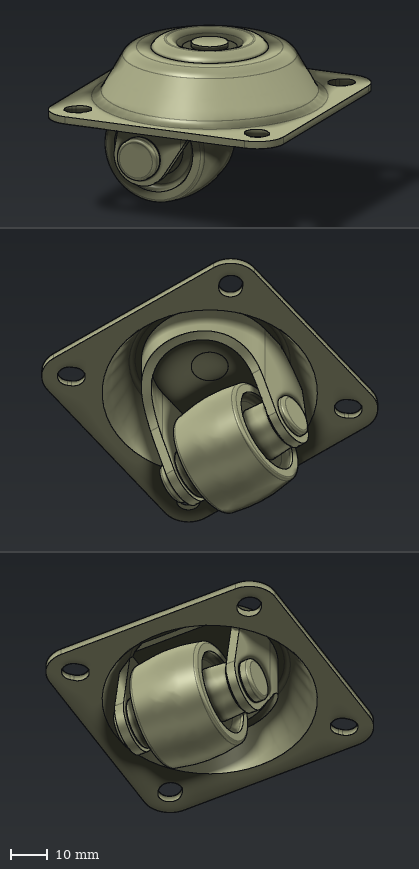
import cadquery as cq
import math

plate_side = 70.0
plate_corner = 8.0
wall = 2.1
slot_width = 6.45
slot_length = 7.55
slot_offset = 26.95

dome_base_radius = 32.2
cone_low_radius = 29.6
cone_low_z = 3.7
cone_high_radius = 23.8
cone_high_z = 14.0
shoulder_radius = 19.95
shoulder_z = 16.0
boss_radius = 16.0
rim_outer_radius = 12.4
rim_inner_radius = 11.9
rim_z = 18.3
dish_mid_radius = 9.1
dish_mid_z = 17.2
dish_floor_radius = 7.5
dish_floor_z = 16.2
roof_z = shoulder_z - wall
roof_fillet = 1.9

wheel_x = -12.0
wheel_z = -12.0
wheel_radius = 16.0
wheel_half_width = 10.5
tread_edge_radius = 15.0
tread_half_width = 9.6
face_radius = 14.15
tread_corner_radius = 0.9
recess_radius = 11.8
recess_fillet = 1.6
recess_depth = 2.5
hub_root_radius = 7.7
hub_end_radius = 7.2
hub_half_length = 15.6
hub_chamfer = 0.3

axle_radius = 4.2
head_radius = 5.95
head_fillet = 1.0
plain_head_length = 1.8
collar_length = 0.35
collar_radius = 5.9
collared_head_length = 3.15

fork_radius = 18.6
fork_wall = 2.7
fork_inner_radius = fork_radius - fork_wall
fork_eye_radius = 8.05
front_edge_tilt = 10.2
rear_edge_slope = 57.0
rear_edge_length = 13.3
rear_sweep_radius = 21.0
swivel_clearance = 1.4

kingpin_radius = 5.05
kingpin_top_z = 17.5
kingpin_bottom_z = roof_z - fork_wall


def revolve_about_z(profile):
    """Revolve a closed (radius, height) profile about the Z axis."""
    return profile.close().revolve(360, (0, 0, 0), (0, 1, 0))


def revolve_about_axle(profile):
    """Revolve a closed (Y, radius) profile about the axle line."""
    turned = profile.close().revolve(360, (0, 0, 0), (1, 0, 0))
    return turned.translate((wheel_x, 0, wheel_z))


def axle_plane():
    """Sketch plane with Y as its first direction and X as its second."""
    return cq.Workplane(cq.Plane((0, 0, 0), xDir=(0, 1, 0), normal=(0, 0, -1)))


def cavity_radius(z):
    """Radius of the dome's inner cone at height z, one wall thickness inside the outer cone."""
    cone_run = (cone_low_radius - cone_high_radius) / (cone_high_z - cone_low_z)
    inset = wall * math.hypot(1, cone_run)
    return cone_low_radius + (cone_low_z - z) * cone_run - inset


def dish_arc_middle():
    """Middle of the dish rounding, which leaves the rim horizontally."""
    run = rim_inner_radius - dish_mid_radius
    drop = rim_z - dish_mid_z
    radius = (run**2 + drop**2) / (2 * drop)
    half_turn = math.atan2(drop, run)
    return (
        rim_inner_radius - radius * math.sin(half_turn),
        rim_z - radius * (1 - math.cos(half_turn)),
    )


def make_housing():
    plate = cq.Workplane("XY").rect(plate_side, plate_side).extrude(wall)
    plate = plate.edges("|Z").fillet(plate_corner)

    for angle in (45, 135, 225, 315):
        slot = cq.Workplane("XY").center(slot_offset * math.sqrt(2), 0)
        slot = slot.slot2D(slot_length, slot_width).extrude(wall)
        plate = plate.cut(slot.rotate((0, 0, 0), (0, 0, 1), angle))

    dome = revolve_about_z(
        cq.Workplane("XZ")
        .moveTo(0, 0)
        .lineTo(0, dish_floor_z)
        .lineTo(dish_floor_radius, dish_floor_z)
        .lineTo(dish_mid_radius, dish_mid_z)
        .threePointArc(dish_arc_middle(), (rim_inner_radius, rim_z))
        .lineTo(rim_outer_radius, rim_z)
        .tangentArcPoint((boss_radius, shoulder_z), relative=False)
        .lineTo(shoulder_radius, shoulder_z)
        .tangentArcPoint((cone_high_radius, cone_high_z), relative=False)
        .lineTo(cone_low_radius, cone_low_z)
        .tangentArcPoint((dome_base_radius, wall), relative=False)
        .lineTo(dome_base_radius, 0)
    )

    cavity = revolve_about_z(
        cq.Workplane("XZ")
        .moveTo(0, 0)
        .lineTo(cavity_radius(0), 0)
        .lineTo(cavity_radius(roof_z), roof_z)
        .lineTo(0, roof_z)
    )
    cavity = cavity.faces(">Z").edges().fillet(roof_fillet)

    pin_hole = cq.Workplane("XY").circle(kingpin_radius).extrude(rim_z)
    return plate.union(dome).cut(cavity).cut(pin_hole)


def make_fork():
    height = plate_side

    def u_plan(radius):
        """Half disc on the +X side with straight sides running toward -X."""
        disc = cq.Workplane("XY").circle(radius).extrude(height)
        straight = cq.Workplane("XY").box(
            height, 2 * radius, height, centered=(False, True, False)
        )
        return disc.union(straight.translate((-height, 0, 0)))

    outside = u_plan(fork_radius).translate((0, 0, roof_z - height))
    inside = u_plan(fork_inner_radius).translate((0, 0, kingpin_bottom_z - height))

    tilt = math.radians(front_edge_tilt)
    slope = math.radians(rear_edge_slope)
    front_tangent = (
        wheel_x - fork_eye_radius * math.cos(tilt),
        wheel_z + fork_eye_radius * math.sin(tilt),
    )
    front_top_x = front_tangent[0] + (roof_z - front_tangent[1]) * math.tan(tilt)
    rear_tangent = (
        wheel_x + fork_eye_radius * math.sin(slope),
        wheel_z - fork_eye_radius * math.cos(slope),
    )
    sweep_start = (
        rear_tangent[0] + rear_edge_length * math.cos(slope),
        rear_tangent[1] + rear_edge_length * math.sin(slope),
    )
    sweep_end = (
        sweep_start[0] + rear_sweep_radius * math.sin(slope),
        sweep_start[1] + rear_sweep_radius * (1 - math.cos(slope)),
    )
    side_outline = (
        cq.Workplane("XZ")
        .moveTo(front_top_x, roof_z)
        .lineTo(*front_tangent)
        .tangentArcPoint(rear_tangent, relative=False)
        .lineTo(*sweep_start)
        .tangentArcPoint(sweep_end, relative=False)
        .lineTo(sweep_end[0], roof_z)
        .close()
        .extrude(fork_radius, both=True)
    )

    axle_hole = (
        cq.Workplane("XZ")
        .center(wheel_x, wheel_z)
        .circle(axle_radius)
        .extrude(fork_radius, both=True)
    )
    pin_hole = cq.Workplane("XY").circle(kingpin_radius).extrude(roof_z)

    envelope_bottom = wheel_z - fork_eye_radius
    swivel_envelope = revolve_about_z(
        cq.Workplane("XZ")
        .moveTo(0, envelope_bottom)
        .lineTo(cavity_radius(envelope_bottom) - swivel_clearance, envelope_bottom)
        .lineTo(cavity_radius(roof_z) - swivel_clearance, roof_z)
        .lineTo(0, roof_z)
    )

    fork_body = outside.cut(inside).intersect(side_outline).intersect(swivel_envelope)
    return fork_body.cut(axle_hole).cut(pin_hole)


def make_wheel():
    recess_y = wheel_half_width - recess_depth
    recess_wall_y = recess_y + recess_fillet
    recess_floor_radius = recess_radius - recess_fillet
    hub_chamfer_y = hub_half_length - hub_chamfer
    return revolve_about_axle(
        axle_plane()
        .moveTo(-hub_half_length, axle_radius)
        .lineTo(-hub_half_length, hub_end_radius - hub_chamfer)
        .lineTo(-hub_chamfer_y, hub_end_radius)
        .lineTo(-recess_y, hub_root_radius)
        .lineTo(-recess_y, recess_floor_radius)
        .radiusArc((-recess_wall_y, recess_radius), -recess_fillet)
        .lineTo(-wheel_half_width, recess_radius)
        .lineTo(-wheel_half_width, face_radius)
        .radiusArc((-tread_half_width, tread_edge_radius), tread_corner_radius)
        .threePointArc((0, wheel_radius), (tread_half_width, tread_edge_radius))
        .radiusArc((wheel_half_width, face_radius), tread_corner_radius)
        .lineTo(wheel_half_width, recess_radius)
        .lineTo(recess_wall_y, recess_radius)
        .radiusArc((recess_y, recess_floor_radius), -recess_fillet)
        .lineTo(recess_y, hub_root_radius)
        .lineTo(hub_chamfer_y, hub_end_radius)
        .lineTo(hub_half_length, hub_end_radius - hub_chamfer)
        .lineTo(hub_half_length, axle_radius)
    )


def make_axle():
    plain_end = fork_radius + plain_head_length
    collar_end = -fork_radius - collar_length
    collared_end = -fork_radius - collared_head_length
    return revolve_about_axle(
        axle_plane()
        .moveTo(collared_end, 0)
        .lineTo(collared_end, head_radius - head_fillet)
        .radiusArc((collared_end + head_fillet, head_radius), head_fillet)
        .lineTo(collar_end, head_radius)
        .lineTo(collar_end, collar_radius)
        .lineTo(-fork_radius, collar_radius)
        .lineTo(-fork_radius, axle_radius)
        .lineTo(fork_radius, axle_radius)
        .lineTo(fork_radius, head_radius)
        .lineTo(plain_end - head_fillet, head_radius)
        .radiusArc((plain_end, head_radius - head_fillet), head_fillet)
        .lineTo(plain_end, 0)
    )


def make_kingpin():
    pin = cq.Workplane("XY").circle(kingpin_radius).extrude(kingpin_top_z - kingpin_bottom_z)
    return pin.translate((0, 0, kingpin_bottom_z))


housing = make_housing()
fork = make_fork()
wheel = make_wheel()
axle = make_axle()
kingpin = make_kingpin()

result = cq.Compound.makeCompound(
    [body.solids().val() for body in (housing, fork, wheel, axle, kingpin)]
)